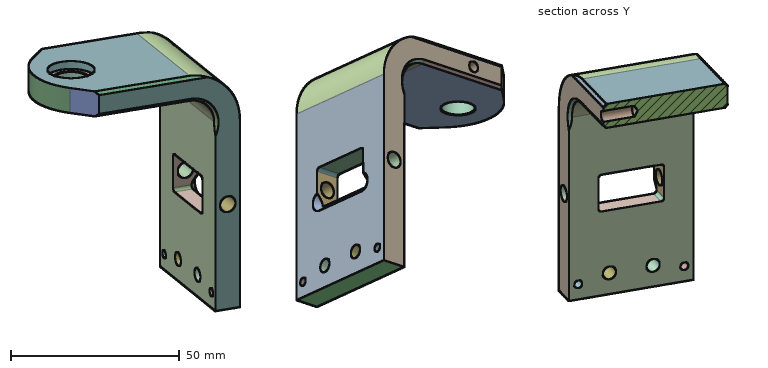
import cadquery as cq
import math

width = 40.0
depth = 58.02
height = 76.0
thickness = 8.0

bend_outer_radius = 16.0
bend_inner_radius = bend_outer_radius - thickness
bend_y = -bend_outer_radius
bend_z = height - bend_outer_radius
shelf_bottom = height - thickness
edge_chamfer = 1.0

nose_radius = 19.0
nose_center_y = nose_radius - depth
nose_tangent = nose_radius * math.sin(math.radians(45))
flank_start_y = nose_center_y - nose_radius * math.sqrt(2) + width / 2

bore_y = -46.0
bore_diameter = 10.0
counterbore_diameter = 14.0
counterbore_depth = 2.5
bore_chamfer = 0.2

edge_hole_y = -35.0
edge_hole_z = height - thickness / 2
edge_hole_diameter = 3.4
edge_hole_depth = 10.0
drill_point_angle = 118.0

cross_hole_diameter = 5.0
cross_hole_z = 33.5

window_width = 21.0
window_height = 12.0
window_center_z = cross_hole_z
window_corner_radius = 1.0
window_chamfer = 2.0

screw_hole_diameter = 4.2
screw_hole_spacing = 14.0
screw_hole_z = 7.0
pin_hole_diameter = 2.5
pin_hole_spacing = 34.0
pin_hole_z = 5.0


def bent_plate():
    """L-shaped plate with concentric bend radii, extruded along X."""
    diagonal = math.sqrt(0.5)
    return (
        cq.Workplane("YZ", origin=(-width / 2, 0, 0))
        .moveTo(0, 0)
        .lineTo(0, bend_z)
        .threePointArc(
            (bend_y + bend_outer_radius * diagonal, bend_z + bend_outer_radius * diagonal),
            (bend_y, height),
        )
        .lineTo(-depth, height)
        .lineTo(-depth, shelf_bottom)
        .lineTo(bend_y, shelf_bottom)
        .threePointArc(
            (bend_y + bend_inner_radius * diagonal, bend_z + bend_inner_radius * diagonal),
            (-thickness, bend_z),
        )
        .lineTo(-thickness, 0)
        .close()
        .extrude(width)
    )


def plan_outline():
    """Full-height prism with the outline of the part seen along Z."""
    half_width = width / 2
    tangent_y = nose_center_y - nose_tangent
    return (
        cq.Workplane("XY")
        .moveTo(-half_width, 0)
        .lineTo(-half_width, flank_start_y)
        .lineTo(-nose_tangent, tangent_y)
        .threePointArc((0, -depth), (nose_tangent, tangent_y))
        .lineTo(half_width, flank_start_y)
        .lineTo(half_width, 0)
        .close()
        .extrude(height)
    )


def straight_chamfer(side, edge_z, inward_z, start_y):
    """Wedge along a long shelf edge; inward_z points from the edge into the shelf."""
    edge_x = side * width / 2
    return (
        cq.Workplane("XZ", origin=(0, start_y, 0))
        .moveTo(edge_x, edge_z)
        .lineTo(edge_x - side * edge_chamfer, edge_z)
        .lineTo(edge_x, edge_z + inward_z * edge_chamfer)
        .close()
        .extrude(depth + start_y)
    )


def bend_chamfer(side):
    """Cone about the bend axis that bevels the inner bend and runs out into the wall."""
    cone = cq.Solid.makeCone(
        bend_inner_radius + edge_chamfer,
        bend_inner_radius,
        edge_chamfer,
        cq.Vector(side * width / 2, bend_y, bend_z),
        cq.Vector(-side, 0, 0),
    )
    return cq.Workplane(cone)


def counterbored_hole():
    """Through bore with a counterbore and a small chamfer at each end of the bore."""
    bore = cq.Workplane("XY").center(0, bore_y).circle(bore_diameter / 2).extrude(height)
    counterbore = (
        cq.Workplane("XY", origin=(0, bore_y, height - counterbore_depth))
        .circle(counterbore_diameter / 2)
        .extrude(counterbore_depth)
    )
    lead_ins = ((height - counterbore_depth, -1), (shelf_bottom, 1))
    for face_z, inward_z in lead_ins:
        cone = cq.Solid.makeCone(
            bore_diameter / 2 + bore_chamfer,
            bore_diameter / 2,
            bore_chamfer,
            cq.Vector(0, bore_y, face_z),
            cq.Vector(0, 0, inward_z),
        )
        bore = bore.union(cq.Workplane(cone))
    return bore.union(counterbore)


def edge_hole():
    """Blind hole with a conical drill point, entering from the -X edge."""
    radius = edge_hole_diameter / 2
    point_length = radius / math.tan(math.radians(drill_point_angle / 2))
    return (
        cq.Workplane("XY", origin=(-width / 2, edge_hole_y, edge_hole_z))
        .lineTo(0, radius)
        .lineTo(edge_hole_depth, radius)
        .lineTo(edge_hole_depth + point_length, 0)
        .close()
        .revolve(360, (0, 0, 0), (1, 0, 0))
    )


def cross_hole():
    return (
        cq.Workplane("YZ", origin=(-width / 2, -thickness / 2, cross_hole_z))
        .circle(cross_hole_diameter / 2)
        .extrude(width)
    )


def window():
    return (
        cq.Workplane("XZ")
        .center(0, window_center_z)
        .rect(window_width, window_height)
        .extrude(thickness)
        .edges("|Y")
        .fillet(window_corner_radius)
    )


def window_sill_chamfer():
    """Bevel on the lower back edge of the window, rounding both lower corners as cones."""
    corner_x = window_width / 2 - window_corner_radius
    sill_z = window_center_z - window_height / 2
    corner_z = sill_z + window_corner_radius
    bevel = (
        cq.Workplane("YZ", origin=(-corner_x, 0, 0))
        .moveTo(0, corner_z)
        .lineTo(0, sill_z - window_chamfer)
        .lineTo(-window_chamfer, sill_z)
        .lineTo(-window_chamfer, corner_z)
        .close()
        .extrude(2 * corner_x)
    )
    for x in (-corner_x, corner_x):
        cone = cq.Solid.makeCone(
            window_corner_radius + window_chamfer,
            window_corner_radius,
            window_chamfer,
            cq.Vector(x, 0, corner_z),
            cq.Vector(0, -1, 0),
        )
        bevel = bevel.union(cq.Workplane(cone))
    return bevel


def wall_hole_pair(diameter, spacing, z):
    return (
        cq.Workplane("XZ")
        .pushPoints([(-spacing / 2, z), (spacing / 2, z)])
        .circle(diameter / 2)
        .extrude(thickness)
    )


result = bent_plate().intersect(plan_outline())

for side in (-1, 1):
    result = result.cut(straight_chamfer(side, height, -1, 0))
    result = result.cut(straight_chamfer(side, shelf_bottom, 1, bend_y))
    result = result.cut(bend_chamfer(side))

result = result.cut(counterbored_hole())
result = result.cut(edge_hole())
result = result.cut(cross_hole())
result = result.cut(window())
result = result.cut(window_sill_chamfer())
result = result.cut(wall_hole_pair(screw_hole_diameter, screw_hole_spacing, screw_hole_z))
result = result.cut(wall_hole_pair(pin_hole_diameter, pin_hole_spacing, pin_hole_z))